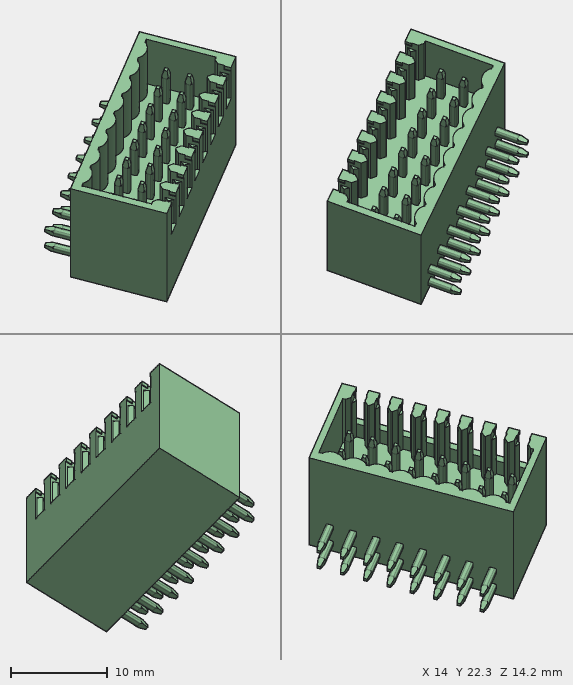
import cadquery as cq


body_x = 10.5
body_y = 22.28
body_z = 14.2

pitch = 2.55
pins_per_row = 8
row_ys = [(i - (pins_per_row - 1) / 2) * pitch for i in range(pins_per_row)]

pin_width = 0.8
pin_edge_radius = 0.2
tip_width = 0.38
taper_length = 1.05
pin_embed = 0.45
solder_pin_length = 3.5
lower_solder_pin_z = 1.27
solder_pin_zs = [lower_solder_pin_z, lower_solder_pin_z + pitch]
first_contact_pin_x = 3.65
contact_pin_xs = [first_contact_pin_x, first_contact_pin_x + pitch]
contact_pin_top = 12.08

cavity_floor = 7.05
cavity_depth = body_z - cavity_floor
end_wall = 0.74
pin_side_wall = 1.0
cavity_x = 7.58
cavity_y = body_y - 2 * end_wall
slot_wall_x = pin_side_wall + cavity_x

bulge_width = 2.27
bulge_height = 0.53

slot_width = 1.5
slot_mouth_chamfer = 0.45
ledge_x = 9.75
ledge_z = 9.18

lip_step = 0.1
lip_height = 0.58

rib_inner_x = 9.27
rib_outer_x = 10.27
rib_height = 0.33
rib_top_depth = 1.25
rib_top = body_z - rib_top_depth


def make_block(size_x, size_y, size_z, base_point):
    """Block growing along +X and +Z from the given point, and centred on it along Y."""
    return cq.Workplane("XY", origin=base_point).box(size_x, size_y, size_z, centered=(False, True, False))


def make_pin(length):
    """Pin along +Z from Z = 0, with rounded edges and a four-sided tapered tip."""
    shank = cq.Workplane("XY").rect(pin_width, pin_width).extrude(length).edges("|Z").fillet(pin_edge_radius)
    straight = length - taper_length
    envelope = cq.Workplane("XY").rect(pin_width, pin_width).extrude(straight)
    taper = (
        cq.Workplane("XY", origin=(0, 0, straight))
        .rect(pin_width, pin_width)
        .workplane(offset=taper_length)
        .rect(tip_width, tip_width)
        .loft(combine=True)
    )
    return shank.intersect(envelope.union(taper))


def make_cavity():
    """Open-top cavity with a row of rounded ribs left standing on the pin-side wall."""
    cavity = make_block(cavity_x, cavity_y, cavity_depth, (pin_side_wall, 0, cavity_floor))
    for y in row_ys:
        bulge = (
            cq.Workplane("XY", origin=(pin_side_wall, y, cavity_floor))
            .moveTo(0, -bulge_width / 2)
            .threePointArc((bulge_height, 0), (0, bulge_width / 2))
            .close()
            .extrude(cavity_depth)
        )
        cavity = cavity.cut(bulge)
    return cavity


def make_slot():
    """Slot cutter centred on Y = 0: chamfered mouth, stepped floor, top lips and side ribs."""
    half = slot_width / 2
    mouth_half = half + slot_mouth_chamfer
    inner = (
        cq.Workplane("XY", origin=(0, 0, cavity_floor))
        .polyline(
            [
                (slot_wall_x, -mouth_half),
                (slot_wall_x + slot_mouth_chamfer, -half),
                (ledge_x, -half),
                (ledge_x, half),
                (slot_wall_x + slot_mouth_chamfer, half),
                (slot_wall_x, mouth_half),
            ]
        )
        .close()
        .extrude(cavity_depth)
    )
    outer_x = body_x - ledge_x
    outer = make_block(outer_x, slot_width, body_z - ledge_z, (ledge_x, 0, ledge_z))
    slot = inner.union(outer)
    for side in (-1, 1):
        wall_y = side * half
        lip_y = wall_y - side * lip_step / 2
        lip = make_block(outer_x, lip_step, lip_height, (ledge_x, lip_y, body_z - lip_height))
        rib = (
            cq.Workplane("XY", origin=(0, 0, cavity_floor))
            .polyline([(rib_inner_x, wall_y), (ledge_x, wall_y - side * rib_height), (rib_outer_x, wall_y)])
            .close()
            .extrude(rib_top - cavity_floor)
        )
        slot = slot.cut(lip).cut(rib)
    return slot


def make_pins():
    """Both rows of contact pins and both rows of solder pins, rooted in the housing."""
    contact_pin = make_pin(contact_pin_top - cavity_floor + pin_embed)
    solder_pin = make_pin(solder_pin_length + pin_embed).rotate((0, 0, 0), (0, 1, 0), -90)
    pins = []
    for y in row_ys:
        for x in contact_pin_xs:
            pins.append(contact_pin.val().translate(cq.Vector(x, y, cavity_floor - pin_embed)))
        for z in solder_pin_zs:
            pins.append(solder_pin.val().translate(cq.Vector(pin_embed, y, z)))
    return pins


housing = make_block(body_x, body_y, body_z, (0, 0, 0)).cut(make_cavity())
slot = make_slot().val()
slots = [slot.translate(cq.Vector(0, y, 0)) for y in row_ys]
housing_with_slots = housing.val().cut(*slots)
result = cq.Workplane("XY").newObject([housing_with_slots.fuse(*make_pins()).clean()]).solids()